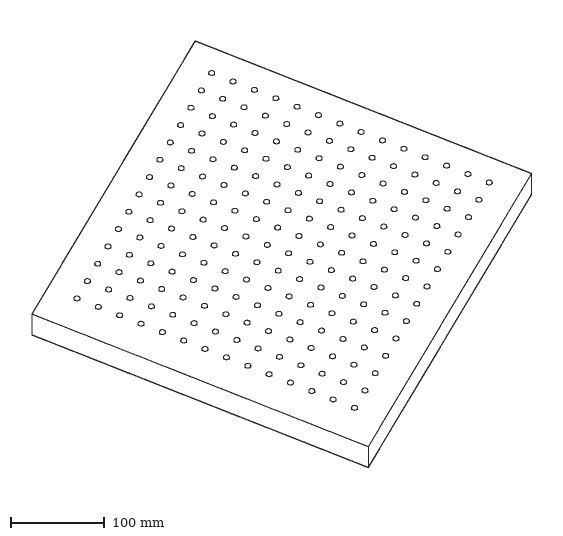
import cadquery as cq

side = 400.0
thickness = 38.5

hole_diameter = 6.5
holes_per_row = 14
grid_span = 330.0
left_margin = 34.5
back_margin = 30.5

hole_pitch = grid_span / (holes_per_row - 1)
grid_center_x = -side / 2 + left_margin + grid_span / 2
grid_center_y = side / 2 - back_margin - grid_span / 2

plate = cq.Workplane("XY").box(side, side, thickness, centered=(True, True, False))

result = (
    plate.faces(">Z")
    .workplane(origin=(grid_center_x, grid_center_y, thickness))
    .rarray(hole_pitch, hole_pitch, holes_per_row, holes_per_row)
    .hole(hole_diameter)
)